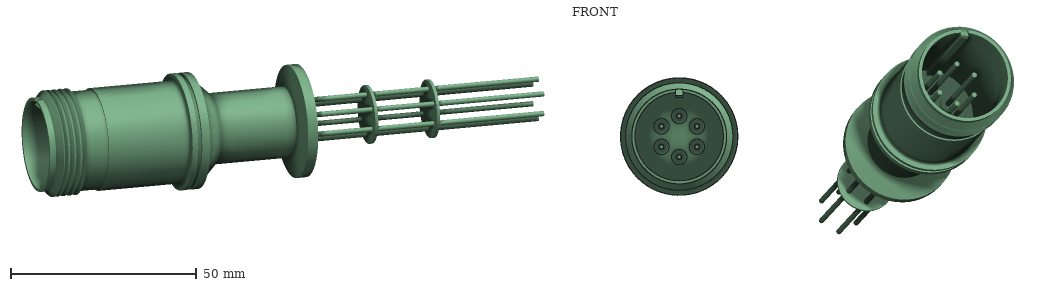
import cadquery as cq
import math

LENGTH = 142.1

NOSE_RADIUS = 12.8
NOSE_LENGTH = 1.7
THREAD_CREST_RADIUS = 14.5
THREAD_ROOT_RADIUS = 13.6
THREAD_FRONT = NOSE_LENGTH + THREAD_CREST_RADIUS - NOSE_RADIUS
THREAD_PITCH = 1.7
FIRST_FULL_CREST = 4.7
FULL_CRESTS = 4
THREAD_RUNOUT = 0.4

RELIEF_RADIUS = 13.5
SHELL_RADIUS = 13.9
SHELL_FRONT = 16.3
SHELL_FILLET = 0.7

RING_RADIUS = 15.85
RING_FRONT = 39.4
RING_BACK = 44.3
GROOVE_RADIUS = 15.0
GROOVE_FRONT = 40.9
GROOVE_BACK = 42.0

CONE_RADIUS = 14.6
NECK_RADIUS = 9.7
CONE_BACK = 49.5
CONE_FILLET = 0.9
FLANGE_RADIUS = 15.3
FLANGE_BACK = 75.0
FLANGE_RIM = 2.8
FLANGE_TAPER = 15.0

BORE_RADIUS = 12.0
BORE_DEPTH = RING_FRONT

KEY_WIDTH = 2.0
KEY_BOTTOM = 10.5
KEY_TIP = NOSE_RADIUS - NOSE_LENGTH
KEY_OVERLAP = 0.4

WIRE_COUNT = 6
WIRE_CIRCLE_RADIUS = 5.5
WIRE_RADIUS = 0.7
WIRE_FRONT = 8.8
WIRE_TIP_CHAMFER = 0.1
INSULATOR_RADIUS = 2.06
INSULATOR_HEIGHT = 0.7
DISC_RADIUS = 8.0
DISC_THICKNESS = 0.9
DISC_CENTERS = (94.0, 111.4)


def cylinder(radius, y_start, y_end, x=0.0, z=0.0):
    """Cylinder along Y between two stations."""
    axis_start = cq.Vector(x, y_start, z)
    return cq.Workplane(cq.Solid.makeCylinder(radius, y_end - y_start, axis_start, cq.Vector(0, 1, 0)))


def thread_points():
    """Outline of the ring-shaped thread ridges, from the lead-in back to the relief."""
    points = [(THREAD_CREST_RADIUS, THREAD_FRONT)]
    previous_crest = THREAD_FRONT
    for index in range(FULL_CRESTS):
        crest = FIRST_FULL_CREST + index * THREAD_PITCH
        points.append((THREAD_ROOT_RADIUS, (previous_crest + crest) / 2))
        points.append((THREAD_CREST_RADIUS, crest))
        previous_crest = crest
    points.append((RELIEF_RADIUS, previous_crest + THREAD_RUNOUT))
    return points


def turned_body():
    rim_front = FLANGE_BACK - FLANGE_RIM
    taper_length = (FLANGE_RADIUS - NECK_RADIUS) * math.tan(math.radians(FLANGE_TAPER))

    cone_angle = math.atan2(CONE_RADIUS - NECK_RADIUS, CONE_BACK - RING_BACK)
    tangent = CONE_FILLET * math.tan(cone_angle / 2)
    blend_start = (NECK_RADIUS + tangent * math.sin(cone_angle), CONE_BACK - tangent * math.cos(cone_angle))
    blend_end = (NECK_RADIUS, CONE_BACK + tangent)
    blend_middle = (
        NECK_RADIUS + CONE_FILLET * (1 - math.cos(cone_angle / 2)),
        CONE_BACK + tangent - CONE_FILLET * math.sin(cone_angle / 2),
    )

    outline = cq.Workplane("XY").moveTo(0, 0).lineTo(NOSE_RADIUS, 0).lineTo(NOSE_RADIUS, NOSE_LENGTH)
    for radius, y in thread_points():
        outline = outline.lineTo(radius, y)
    outline = (
        outline.lineTo(RELIEF_RADIUS, SHELL_FRONT)
        .lineTo(SHELL_RADIUS, SHELL_FRONT)
        .lineTo(SHELL_RADIUS, RING_FRONT - SHELL_FILLET)
        .radiusArc((SHELL_RADIUS + SHELL_FILLET, RING_FRONT), SHELL_FILLET)
        .lineTo(RING_RADIUS, RING_FRONT)
        .lineTo(RING_RADIUS, GROOVE_FRONT)
        .lineTo(GROOVE_RADIUS, GROOVE_FRONT)
        .lineTo(GROOVE_RADIUS, GROOVE_BACK)
        .lineTo(RING_RADIUS, GROOVE_BACK)
        .lineTo(RING_RADIUS, RING_BACK)
        .lineTo(CONE_RADIUS, RING_BACK)
        .lineTo(*blend_start)
        .threePointArc(blend_middle, blend_end)
        .lineTo(NECK_RADIUS, rim_front - taper_length)
        .lineTo(FLANGE_RADIUS, rim_front)
        .lineTo(FLANGE_RADIUS, FLANGE_BACK)
        .lineTo(0, FLANGE_BACK)
        .close()
    )
    return outline.revolve(360, (0, 0, 0), (0, 1, 0))


def key_prism(points):
    """Prism as wide as the key, centred on X = 0, from a (Y, Z) outline."""
    return cq.Workplane("YZ").polyline(points).close().extrude(KEY_WIDTH / 2, both=True)


def key():
    """Rail along the top of the bore with a pointed front end."""
    top = BORE_RADIUS + KEY_OVERLAP
    return key_prism([
        (0, KEY_TIP),
        (top - KEY_TIP, top),
        (BORE_DEPTH, top),
        (BORE_DEPTH, KEY_BOTTOM),
        (KEY_TIP - KEY_BOTTOM, KEY_BOTTOM),
    ])


def nose_notch():
    """Notch through the nose wall that exposes the sloped end of the key."""
    return key_prism([
        (0, KEY_TIP),
        (NOSE_LENGTH, NOSE_RADIUS),
        (0, NOSE_RADIUS + NOSE_LENGTH),
    ])


def wires():
    """Wires with an insulator collar on the socket floor, evenly spaced on one circle."""
    group = cq.Workplane()
    for index in range(WIRE_COUNT):
        angle = math.radians(90 + index * 360 / WIRE_COUNT)
        x = WIRE_CIRCLE_RADIUS * math.cos(angle)
        z = WIRE_CIRCLE_RADIUS * math.sin(angle)
        wire = cylinder(WIRE_RADIUS, WIRE_FRONT, LENGTH, x, z).faces("<Y").chamfer(WIRE_TIP_CHAMFER)
        group = group.add(wire)
        group = group.add(cylinder(INSULATOR_RADIUS, BORE_DEPTH - INSULATOR_HEIGHT, BORE_DEPTH, x, z))
    return group.combine()


result = turned_body().cut(cylinder(BORE_RADIUS, 0, BORE_DEPTH))
result = result.union(key()).cut(nose_notch()).union(wires())
for center in DISC_CENTERS:
    result = result.union(cylinder(DISC_RADIUS, center - DISC_THICKNESS / 2, center + DISC_THICKNESS / 2))